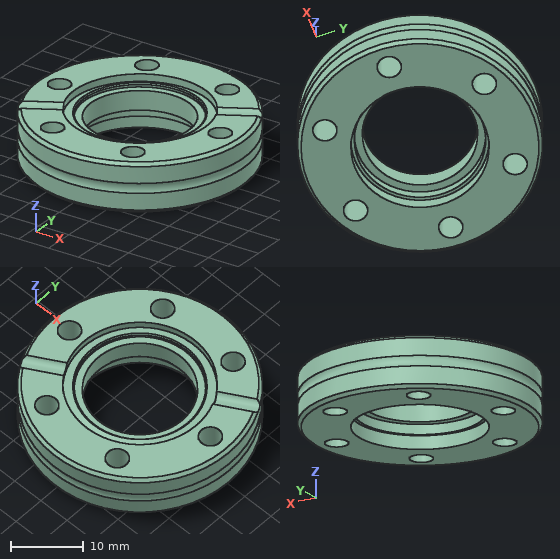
import cadquery as cq

outer_radius = 17.0
thickness = 7.75
rim_chamfer = 0.5

rim_groove_width = 1.53
rim_groove_depth = 0.17

bore_radius = 8.0
middle_step_radius = 9.1
middle_step_height = 3.5
bottom_step_radius = 9.6
bottom_step_height = 2.0

recess_radius = 10.7
recess_depth = 1.15
knife_edge_radius = 9.3
knife_edge_depth = 0.65
knife_bevel = 0.2
ledge_radius = knife_edge_radius - knife_bevel
ledge_depth = 1.22

bolt_count = 6
bolt_circle_radius = 13.45
bolt_hole_diameter = 3.33

leak_groove_width = 2.28
leak_groove_depth = 0.65
leak_groove_angle = 180 / bolt_count


def arc_radius(chord, rise):
    """Radius of the circular arc with the given chord and rise."""
    return ((chord / 2) ** 2 + rise ** 2) / (2 * rise)


def make_flange():
    """Revolve the ring section; local x is the radius and local y is the height."""
    middle = thickness / 2
    half_groove = rim_groove_width / 2
    section = (
        cq.Workplane("XZ")
        .moveTo(bottom_step_radius, 0)
        .lineTo(outer_radius - rim_chamfer, 0)
        .lineTo(outer_radius, rim_chamfer)
        .lineTo(outer_radius, middle - half_groove)
        .threePointArc(
            (outer_radius - rim_groove_depth, middle),
            (outer_radius, middle + half_groove),
        )
        .lineTo(outer_radius, thickness - rim_chamfer)
        .lineTo(outer_radius - rim_chamfer, thickness)
        .lineTo(recess_radius, thickness)
        .lineTo(recess_radius, thickness - recess_depth)
        .lineTo(knife_edge_radius, thickness - knife_edge_depth)
        .lineTo(ledge_radius, thickness - knife_edge_depth - knife_bevel)
        .lineTo(ledge_radius, thickness - ledge_depth)
        .lineTo(bore_radius, thickness - ledge_depth)
        .lineTo(bore_radius, middle_step_height)
        .lineTo(middle_step_radius, middle_step_height)
        .lineTo(middle_step_radius, bottom_step_height)
        .lineTo(bottom_step_radius, bottom_step_height)
        .close()
    )
    return section.revolve(360, (0, 0, 0), (0, 1, 0))


def make_bolt_holes():
    return (
        cq.Workplane("XY")
        .polarArray(bolt_circle_radius, 0, 360, bolt_count)
        .circle(bolt_hole_diameter / 2)
        .extrude(thickness)
    )


def make_leak_grooves():
    """One cylinder across the full diameter; it cuts both grooves and clears the knife edge."""
    radius = arc_radius(leak_groove_width, leak_groove_depth)
    axis_height = thickness - leak_groove_depth + radius
    return (
        cq.Workplane("YZ")
        .center(0, axis_height)
        .circle(radius)
        .extrude(outer_radius, both=True)
        .rotate((0, 0, 0), (0, 0, 1), leak_groove_angle)
    )


result = make_flange().cut(make_bolt_holes()).cut(make_leak_grooves())